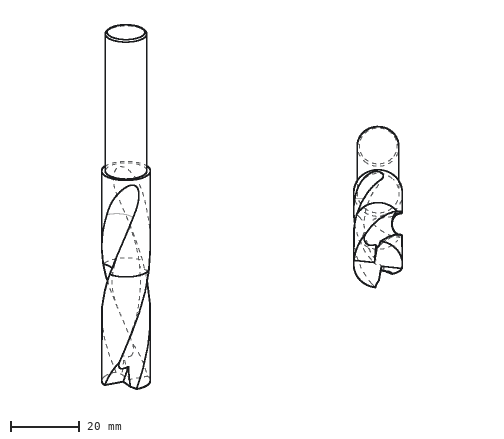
import cadquery as cq
import math

TOTAL_LENGTH = 110.0
BODY_DIAMETER = 14.2
BODY_RADIUS = BODY_DIAMETER / 2
SHANK_RADIUS = 6.0
SHANK_CHAMFER = 0.5
SHOULDER_Z = 66.2
JOINT_Z = 35.8

FLUTE_COUNT = 2
FLUTE_PITCH = 113.8
FLUTE_END_Z = 54.3
FLUTE_RADIUS = 5.3
FLUTE_OFFSET = 9.4
FLUTE_END_ANGLE = -87.0
FLUTE_TWIST = 360 * FLUTE_END_Z / FLUTE_PITCH
FLUTE_START_ANGLE = FLUTE_END_ANGLE - FLUTE_TWIST

RUNOUT_BEND_RADIUS = 29.7
RUNOUT_LEAN = 66.0
RUNOUT_TURN = 60.0
HELIX_SLOPE = 2 * math.pi * FLUTE_OFFSET / FLUTE_PITCH

GASH_ROOT = (-0.4, -1.1)
GASH_LEFT = (-4.6, -5.4)
GASH_RIGHT = (2.9, -4.0)
GASH_SLOPE = (0.41, -0.39)
GASH_REACH = 3.0
GASH_HEIGHT = 16.5


def polar(radius, angle):
    return (radius * math.cos(math.radians(angle)), radius * math.sin(math.radians(angle)))


def make_helical_flute():
    return (
        cq.Workplane("XY")
        .moveTo(*polar(FLUTE_OFFSET, FLUTE_START_ANGLE))
        .circle(FLUTE_RADIUS)
        .twistExtrude(FLUTE_END_Z, FLUTE_TWIST)
    )


def make_runout():
    """Continue the flute's end circle along an arc that climbs out of the body."""
    radial = cq.Vector(*polar(1, FLUTE_END_ANGLE), 0)
    sideways = cq.Vector(*polar(1, FLUTE_END_ANGLE + 90), 0)
    bend = cq.Vector(*polar(1, FLUTE_END_ANGLE + RUNOUT_LEAN), 0)
    along = (cq.Vector(0, 0, 1) + sideways * HELIX_SLOPE).normalized()
    bend = (bend - along * bend.dot(along)).normalized()
    start = radial * FLUTE_OFFSET + cq.Vector(0, 0, FLUTE_END_Z)

    def arc_point(turn):
        turn = math.radians(turn)
        outward = RUNOUT_BEND_RADIUS * (1 - math.cos(turn))
        forward = RUNOUT_BEND_RADIUS * math.sin(turn)
        return start + bend * outward + along * forward

    path = cq.Workplane(cq.Edge.makeThreePointArc(start, arc_point(RUNOUT_TURN / 2), arc_point(RUNOUT_TURN)))
    end_plane = cq.Plane(origin=start, xDir=radial, normal=(0, 0, 1))
    return cq.Workplane(end_plane).circle(FLUTE_RADIUS).sweep(path)


def make_gash():
    """Oblique V-shaped prism, lofted between equal triangles."""
    def wall_end(point):
        return tuple(root + GASH_REACH * (p - root) for root, p in zip(GASH_ROOT, point))

    triangle = [GASH_ROOT, wall_end(GASH_RIGHT), wall_end(GASH_LEFT)]
    shift_x, shift_y = (slope * GASH_HEIGHT for slope in GASH_SLOPE)
    raised = [(x + shift_x, y + shift_y) for x, y in triangle]
    return (
        cq.Workplane("XY")
        .polyline(triangle).close()
        .workplane(offset=GASH_HEIGHT)
        .polyline(raised).close()
        .loft(ruled=True)
    )


def cut_around(body, cutter):
    """Cut one copy of the cutter per flute, evenly spaced about the tool axis."""
    for index in range(FLUTE_COUNT):
        body = body.cut(cutter.rotate((0, 0, 0), (0, 0, 1), index * 360 / FLUTE_COUNT))
    return body


def make_tip(flute):
    tip = cq.Workplane("XY").circle(BODY_RADIUS).extrude(JOINT_Z)
    tip = cut_around(tip, flute)
    return cut_around(tip, make_gash())


def make_holder(flute):
    holder = cq.Workplane("XY").workplane(offset=JOINT_Z).circle(BODY_RADIUS).extrude(SHOULDER_Z - JOINT_Z)
    holder = cut_around(holder, flute)
    holder = cut_around(holder, make_runout())
    shank = (
        cq.Workplane("XY").workplane(offset=SHOULDER_Z)
        .circle(SHANK_RADIUS)
        .extrude(TOTAL_LENGTH - SHOULDER_Z)
        .faces(">Z").chamfer(SHANK_CHAMFER)
    )
    return holder.union(shank)


helical_flute = make_helical_flute()
tip = make_tip(helical_flute)
holder = make_holder(helical_flute)

result = cq.Compound.makeCompound([tip.val(), holder.val()])